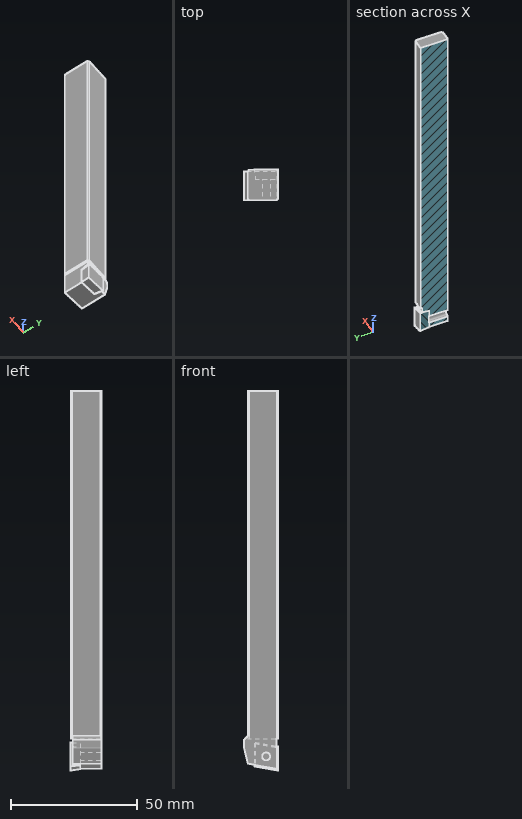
import cadquery as cq
import math

total_length = 150.0
overall_width = 13.5
overall_depth = 12.3
shank_width = 12.0
shank_depth = 12.2
shank_chamfer = 0.6
shank_left = overall_width - shank_width

neck_z = 13.8
bulge_top_z = 12.2
bulge_bottom_z = 9.0
corner_x = 1.5
head_right = 12.9
head_bottom_z = 0.8
seat_step_z = 12.6
head_depth = 11.4
screw_hole_diameter = 3.2

insert_side = 9.6
insert_thickness = 3.9
edge_slope = math.radians(10)
clearance_angle = 7.0

insert_rise = insert_side * math.sin(edge_slope)
insert_width = insert_side * math.cos(edge_slope)
insert_left = overall_width - insert_width
insert_centre_x = overall_width - insert_width / 2
insert_centre_z = (insert_side + insert_rise) / 2


def make_insert():
    """Solid rhombus that narrows from its outer face at +Y towards its seat."""
    outline = [
        (overall_width, 0),
        (overall_width, insert_side),
        (insert_left, insert_side + insert_rise),
        (insert_left, insert_rise),
    ]
    return (
        cq.Workplane("XZ", origin=(0, overall_depth, 0))
        .polyline(outline)
        .close()
        .extrude(insert_thickness, taper=clearance_angle)
    )


def make_shank():
    """Bar with chamfered long edges."""
    return (
        cq.Workplane("XY", origin=(shank_left, 0, seat_step_z))
        .rect(shank_width, shank_depth, centered=False)
        .extrude(total_length - seat_step_z)
        .edges("|Z")
        .chamfer(shank_chamfer)
    )


def make_head():
    """Bulging head, thinner than the shank so that the insert stands proud of it."""
    corner_z = head_bottom_z + (head_right - corner_x) * math.tan(edge_slope)
    outline = [
        (head_right, head_bottom_z),
        (head_right, neck_z),
        (shank_left, neck_z),
        (0, bulge_top_z),
        (0, bulge_bottom_z),
        (corner_x, corner_z),
    ]
    return cq.Workplane("XZ").polyline(outline).close().extrude(-head_depth)


def make_holder(insert):
    """Shank and head with a fitted insert seat and a screw hole behind it."""
    screw_hole = (
        cq.Workplane("XZ")
        .center(insert_centre_x, insert_centre_z)
        .circle(screw_hole_diameter / 2)
        .extrude(-(overall_depth - insert_thickness))
    )
    return make_shank().union(make_head()).cut(insert).cut(screw_hole)


insert = make_insert()
holder = make_holder(insert)

result = cq.Compound.makeCompound([*holder.solids().vals(), insert.val()])